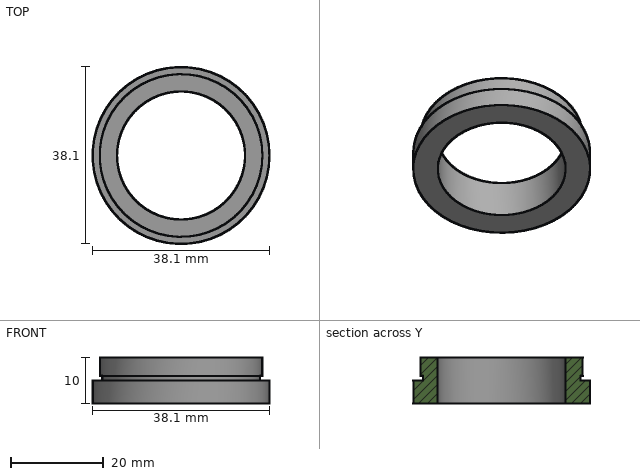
import cadquery as cq

flange_diameter = 38.1
collar_diameter = 35.0
groove_diameter = 34.05
bore_diameter = 27.5

total_height = 10.0
flange_height = total_height / 2
groove_width = 1.0
collar_height = total_height - flange_height - groove_width


def stack_disc(body, diameter, height):
    """Add a coaxial disc on the top face of the body."""
    return body.faces(">Z").workplane().circle(diameter / 2).extrude(height)


flange = cq.Workplane("XY").circle(flange_diameter / 2).extrude(flange_height)
grooved_flange = stack_disc(flange, groove_diameter, groove_width)
stepped_body = stack_disc(grooved_flange, collar_diameter, collar_height)

result = stepped_body.faces(">Z").workplane().hole(bore_diameter)